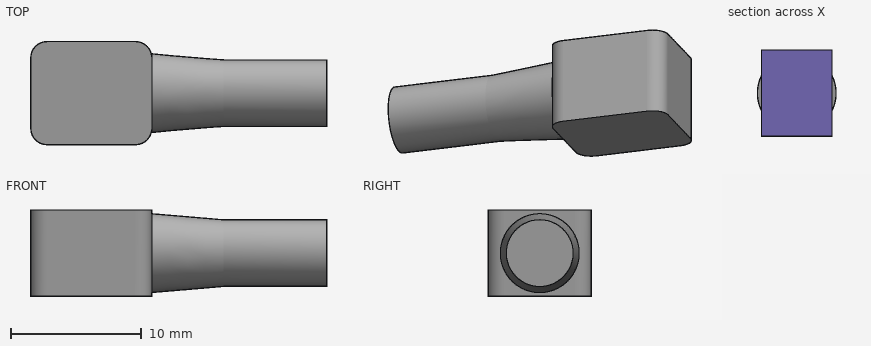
import cadquery as cq

head_length = 9.25
head_width = 7.89
head_height = 6.6
head_corner_radius = 1.25

overall_length = 22.61
neck_length = 5.5
neck_root_diameter = 6.03
shank_diameter = 5.1
shank_length = overall_length - head_length - neck_length


def stem_section(x_position):
    """Workplane square to the X axis at the given X, with its local x axis along +Z."""
    return cq.Workplane(cq.Plane(origin=(x_position, 0, 0), xDir=(0, 0, 1), normal=(1, 0, 0)))


def make_head():
    """Block with its -X face at X = 0, centred on the X axis."""
    block = cq.Workplane("XY").box(
        head_length, head_width, head_height, centered=(False, True, True)
    )
    return block.edges("|Z").fillet(head_corner_radius)


def make_neck():
    """Taper from the head's +X face down to the shank diameter."""
    return (
        stem_section(head_length)
        .circle(neck_root_diameter / 2)
        .workplane(offset=neck_length)
        .circle(shank_diameter / 2)
        .loft()
    )


def make_shank():
    """Plain cylinder continuing from the small end of the neck."""
    return stem_section(head_length + neck_length).circle(shank_diameter / 2).extrude(shank_length)


result = make_head().union(make_neck()).union(make_shank())